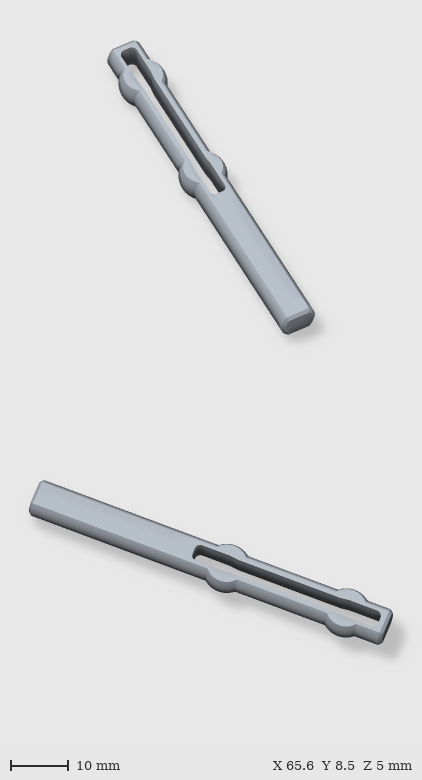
import cadquery as cq

length = 65.6
rod_diameter = 6.55
thickness = 5.0
end_chamfer = 0.5

ball_diameter = 8.5
first_ball_x = 7.6
ball_spacing = 22.25
ball_centres = [first_ball_x, first_ball_x + ball_spacing]

slot_centre_x = sum(ball_centres) / len(ball_centres)
slot_length = 34.6
slot_end_width = 3.0
slot_waist_width = 2.6
slot_waist_length = 18.9
slot_corner_radius = 1.0


def chamfered_bar():
    """Flatted rod with chamfered rims on both end faces."""
    rod = cq.Workplane("YZ").circle(rod_diameter / 2).extrude(length)
    slab = cq.Workplane("XY").box(length, rod_diameter, thickness, centered=(False, True, True))
    return rod.intersect(slab).faces("<X or >X").edges().chamfer(end_chamfer)


def flatted_ball(x):
    """Ball centred on the rod axis, cut off level with the flats of the bar."""
    ball = cq.Workplane("XY").sphere(ball_diameter / 2)
    slab = cq.Workplane("XY").box(ball_diameter, ball_diameter, thickness)
    return ball.intersect(slab).translate((x, 0, 0))


def slot_cutter():
    """Round-cornered slot that tapers in to a slightly narrower middle stretch."""
    slot = cq.Workplane("XY").box(slot_length, slot_end_width, thickness)
    slot = slot.edges("|Z").fillet(slot_corner_radius)
    side_pad = (
        cq.Workplane("XY")
        .moveTo(-ball_spacing / 2, slot_end_width / 2)
        .lineTo(-slot_waist_length / 2, slot_waist_width / 2)
        .lineTo(slot_waist_length / 2, slot_waist_width / 2)
        .lineTo(ball_spacing / 2, slot_end_width / 2)
        .close()
        .extrude(thickness / 2, both=True)
    )
    slot = slot.cut(side_pad).cut(side_pad.mirror("XZ"))
    return slot.translate((slot_centre_x, 0, 0))


result = chamfered_bar()
for ball_x in ball_centres:
    result = result.union(flatted_ball(ball_x))
result = result.cut(slot_cutter())